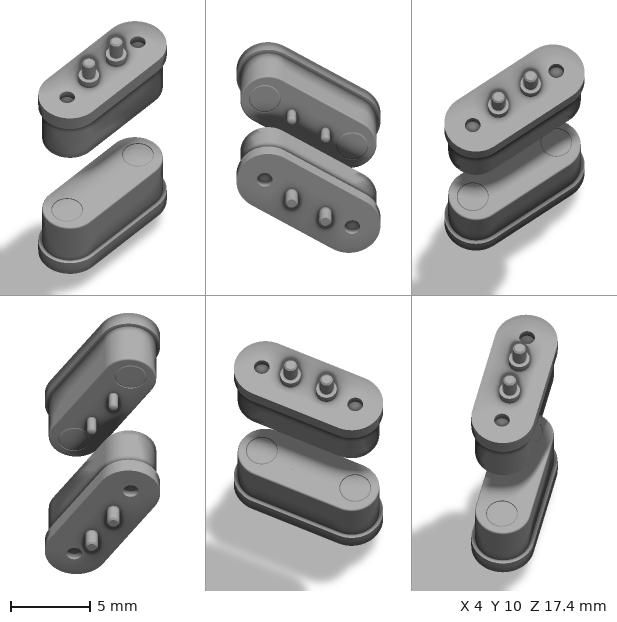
import cadquery as cq

FLANGE_WIDTH = 4.0
FLANGE_LENGTH = 10.0
FLANGE_THICKNESS = 1.0
FLANGE_OVERHANG = 0.25
BODY_HEIGHT = 3.01
RIM_RADIUS = 0.1
HOUSING_HEIGHT = FLANGE_THICKNESS + BODY_HEIGHT

MAGNET_SPACING = 6.5
MAGNET_DIAMETER = 2.0
MAGNET_EDGE_RADIUS = 0.1
PUSH_HOLE_DIAMETER = 1.0
PUSH_HOLE_DEPTH = 0.5
MAGNET_LENGTH = HOUSING_HEIGHT - PUSH_HOLE_DEPTH

CONTACT_SPACING = 2.5
TAIL_DIAMETER = 0.8
TAIL_LENGTH = 1.2
TAIL_CHAMFER = 0.1

BARREL_DIAMETER = 1.3
BARREL_PROJECTION = 0.5
PLUNGER_DIAMETER = 0.6
PLUNGER_LENGTH = 1.18
PLUNGER_TIP_RADIUS = 0.25

PAD_DIAMETER = 1.13

OVERALL_HEIGHT = 17.4
LOWER_FLANGE_FACE = TAIL_LENGTH
UPPER_FLANGE_FACE = OVERALL_HEIGHT - TAIL_LENGTH - BARREL_PROJECTION


def pair_along_y(spacing):
    return [(0, -spacing / 2), (0, spacing / 2)]


def obround(width, length, height):
    return cq.Workplane("XY").slot2D(length, width, 90).extrude(height)


def cylinder(diameter, start, height):
    return cq.Workplane("XY").workplane(offset=start).circle(diameter / 2).extrude(height)


def make_housing(contact_hole_diameter):
    flange = obround(FLANGE_WIDTH, FLANGE_LENGTH, FLANGE_THICKNESS)
    body = obround(
        FLANGE_WIDTH - 2 * FLANGE_OVERHANG,
        FLANGE_LENGTH - 2 * FLANGE_OVERHANG,
        HOUSING_HEIGHT,
    )
    body = body.faces(">Z").edges().fillet(RIM_RADIUS)
    housing = flange.union(body)
    push_hole = cylinder(PUSH_HOLE_DIAMETER, 0, PUSH_HOLE_DEPTH)
    magnet_pocket = cylinder(MAGNET_DIAMETER, PUSH_HOLE_DEPTH, MAGNET_LENGTH)
    contact_hole = cylinder(contact_hole_diameter, 0, HOUSING_HEIGHT)
    for place in pair_along_y(MAGNET_SPACING):
        housing = housing.cut(push_hole.translate((*place, 0)))
        housing = housing.cut(magnet_pocket.translate((*place, 0)))
    for place in pair_along_y(CONTACT_SPACING):
        housing = housing.cut(contact_hole.translate((*place, 0)))
    return housing


def make_magnet():
    magnet = cylinder(MAGNET_DIAMETER, PUSH_HOLE_DEPTH, MAGNET_LENGTH)
    return magnet.faces(">Z").edges().fillet(MAGNET_EDGE_RADIUS)


def make_tail(start):
    tail = cylinder(TAIL_DIAMETER, start - TAIL_LENGTH, TAIL_LENGTH)
    return tail.faces("<Z").edges().chamfer(TAIL_CHAMFER)


def make_spring_contact():
    barrel = cylinder(BARREL_DIAMETER, -BARREL_PROJECTION, BARREL_PROJECTION + HOUSING_HEIGHT)
    tail = make_tail(-BARREL_PROJECTION)
    plunger = cylinder(PLUNGER_DIAMETER, HOUSING_HEIGHT, PLUNGER_LENGTH)
    plunger = plunger.faces(">Z").edges().fillet(PLUNGER_TIP_RADIUS)
    return barrel.union(tail).union(plunger)


def make_flat_contact():
    pad = cylinder(PAD_DIAMETER, 0, HOUSING_HEIGHT)
    return pad.union(make_tail(0))


def place_lower(body):
    return body.translate((0, 0, LOWER_FLANGE_FACE)).val()


def place_upper(body):
    return body.rotate((0, 0, 0), (1, 0, 0), 180).translate((0, 0, UPPER_FLANGE_FACE)).val()


lower_housing = place_lower(make_housing(PAD_DIAMETER))
upper_housing = place_upper(make_housing(BARREL_DIAMETER))

magnets = []
for place in pair_along_y(MAGNET_SPACING):
    magnet = make_magnet().translate((*place, 0))
    magnets.append(place_lower(magnet))
    magnets.append(place_upper(magnet))

flat_contacts = []
spring_contacts = []
for place in pair_along_y(CONTACT_SPACING):
    flat_contacts.append(place_lower(make_flat_contact().translate((*place, 0))))
    spring_contacts.append(place_upper(make_spring_contact().translate((*place, 0))))

result = cq.Compound.makeCompound(
    [lower_housing, upper_housing, *magnets, *flat_contacts, *spring_contacts]
)